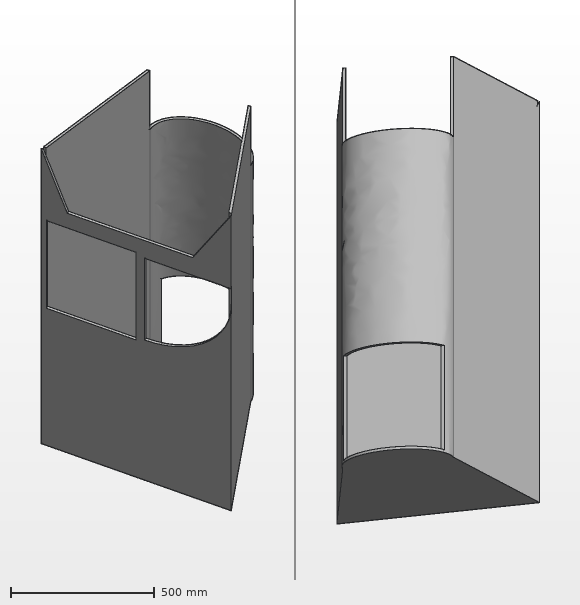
import cadquery as cq
import math

width = 736.0
depth = 630.0
height = 1500.0
panel = 10.0
floor = 10.0
wall = 10.0

front_y = -depth / 2
back_y = depth / 2
panel_back_y = front_y + panel
front_half_width = width / 2
back_half_width = 201.0
side_depth = 501.0
shoulder_y = front_y + side_depth

back_top = 1200.0
hatch_top = 400.0
hatch_depth = 554.0

notch_bottom = 1218.0
notch_left = -267.0
notch_right = 219.0

left_window_min_x = -348.0
left_window_max_x = -2.0
left_window_bottom = 698.0
left_window_top = 1143.0
right_window_min_x = 33.0
right_window_bottom = 712.0
right_window_top = 1128.0


def plan_prism(front_half, back_half, front, back):
    """Full-height prism: tapered straight sides closed by a half-ellipse arch."""
    sides = (
        cq.Workplane("XY")
        .moveTo(-front_half, front)
        .lineTo(front_half, front)
        .lineTo(back_half, shoulder_y)
        .lineTo(-back_half, shoulder_y)
        .close()
        .extrude(height)
    )
    arch = (
        cq.Workplane("XY", origin=(0, shoulder_y, 0))
        .ellipse(back_half, back - shoulder_y)
        .extrude(height)
    )
    behind_shoulder = box_between((-width, shoulder_y, 0), (width, depth, height))
    return sides.union(arch.intersect(behind_shoulder))


def box_between(low, high):
    """Axis-aligned box between two opposite corners."""
    sizes = [b - a for a, b in zip(low, high)]
    return cq.Workplane("XY").box(*sizes, centered=False).translate(low)


def make_shell():
    """Front panel, side walls, arched back and floor, open at the top."""
    taper_slope = (front_half_width - back_half_width) / side_depth
    wall_across = wall * math.hypot(1, taper_slope)
    outer = plan_prism(front_half_width, back_half_width, front_y, back_y)
    inner = plan_prism(
        front_half_width - panel * taper_slope - wall_across,
        back_half_width - wall_across,
        panel_back_y,
        back_y - wall,
    ).translate((0, 0, floor))
    above_back = box_between((-width, shoulder_y, back_top), (width, depth, height))
    hatch = box_between((-width, front_y + hatch_depth, floor), (width, depth, hatch_top))
    return outer.cut(inner).cut(above_back).cut(hatch)


def front_sketch():
    """Workplane on the front face, facing -Y."""
    return cq.Workplane("XZ", origin=(0, front_y, 0))


def make_notch():
    """Flared cut from the upper corners of the front panel."""
    return (
        front_sketch()
        .moveTo(-front_half_width, height)
        .lineTo(notch_left, notch_bottom)
        .lineTo(notch_right, notch_bottom)
        .lineTo(front_half_width, height)
        .close()
        .extrude(-panel)
    )


def make_left_window():
    """Rectangular opening in the front panel."""
    return box_between(
        (left_window_min_x, front_y, left_window_bottom),
        (left_window_max_x, panel_back_y, left_window_top),
    )


def make_right_window():
    """Opening with a quarter-circle lower edge that breaks out through the panel edge."""
    radius = front_half_width - right_window_min_x
    arc_center_z = right_window_bottom + radius
    arc_mid = (
        right_window_min_x + radius * math.sin(math.pi / 4),
        arc_center_z - radius * math.cos(math.pi / 4),
    )
    return (
        front_sketch()
        .moveTo(right_window_min_x, right_window_bottom)
        .threePointArc(arc_mid, (front_half_width, arc_center_z))
        .lineTo(front_half_width, right_window_top)
        .lineTo(right_window_min_x, right_window_top)
        .close()
        .extrude(-panel)
    )


result = make_shell().cut(make_notch()).cut(make_left_window()).cut(make_right_window())